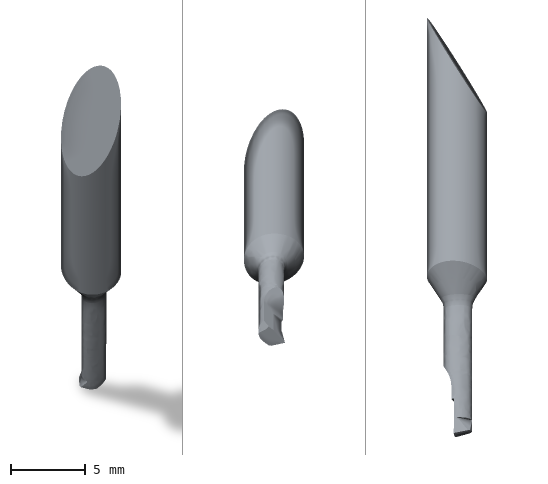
import cadquery as cq
import math

total_length = 29.7
shank_diameter = 4.0
shank_radius = shank_diameter / 2
end_cut_angle = 60.0

neck_x = 0.223
neck_rx = 0.8
neck_ry = 0.965
neck_left = neck_x - neck_rx
neck_right = neck_x + neck_rx
flare_base_z = 9.5
flare_angle = 32.0
flare_blend_radius = 1.35

flat_y = 0.25
runout_arc_start_z = 3.42
runout_arc_radius = 2.08
runout_angle = 33.0

tip_top_z = 1.22
nose_x = -0.92
rake_edge_y = -0.03
rake_top_z = 2.55
bottom_slope_x = 0.19
bottom_slope_y = 0.24
end_chamfer_width = 0.42
end_chamfer_top_z = 0.68
end_chamfer_height = 0.4
front_top_z = 1.07
front_top_left_x = -0.48
front_top_left_y = -0.3
heel = (-0.4, -0.9, 0.27)

block = 3 * total_length
overcut = 0.3
edge_tolerance = 0.03


def half_space(p, q, r):
    """Block on the side of a plane from which its three points run counterclockwise."""
    a, b, c = (cq.Vector(*point) for point in (p, q, r))
    plane = cq.Plane(origin=a, xDir=b - a, normal=(b - a).cross(c - a))
    return cq.Workplane(plane).rect(block, block).extrude(block)


def end_face_z(x, y):
    """Height of the tilted lower end, zero at the cutting nose."""
    return bottom_slope_x * (x - nose_x) - bottom_slope_y * (y - rake_edge_y)


def below_end_face():
    """Everything under the tilted lower end of the tool."""
    points = [(x, y, end_face_z(x, y)) for x, y in ((0, 0), (0, 0.3), (0.3, 0))]
    return half_space(*points)


def rake_relief():
    """Wedge in front of the slanted rake face, which runs up to the flat."""
    return (
        cq.Workplane("XY")
        .moveTo(nose_x, rake_edge_y)
        .lineTo(neck_x, flat_y)
        .lineTo(neck_x, shank_radius)
        .lineTo(nose_x, shank_radius)
        .close()
        .extrude(rake_top_z)
    )


def relief_pocket():
    """Half-section relief with an arc and a straight runout."""
    angle = math.radians(runout_angle)

    def arc_point(turn):
        return (
            flat_y + runout_arc_radius * (1 - math.cos(turn)),
            runout_arc_start_z + runout_arc_radius * math.sin(turn),
        )

    arc_end = arc_point(angle)
    runout_top_z = arc_end[1] + (shank_radius - arc_end[0]) / math.tan(angle)
    return (
        cq.Workplane("YZ")
        .moveTo(flat_y, -overcut)
        .lineTo(flat_y, runout_arc_start_z)
        .threePointArc(arc_point(angle / 2), arc_end)
        .lineTo(shank_radius, runout_top_z)
        .lineTo(shank_radius, -overcut)
        .close()
        .extrude(shank_radius, both=True)
    )


def tip_seat():
    """Corner of the neck that the tip fills."""
    return cq.Workplane("XY").box(
        block, block, block + tip_top_z, centered=(False, True, False)
    ).translate((neck_x - block, 0, -block))


def neck_end_chamfer():
    """Bevel on the +X side of the lower end."""
    return (
        cq.Workplane("XZ")
        .moveTo(neck_right, end_chamfer_top_z)
        .lineTo(neck_right - end_chamfer_width, end_chamfer_top_z - end_chamfer_height)
        .lineTo(neck_right - end_chamfer_width, -overcut)
        .lineTo(neck_right + overcut, -overcut)
        .lineTo(neck_right + overcut, end_chamfer_top_z)
        .close()
        .extrude(shank_radius, both=True)
    )


def make_holder():
    """Shank, flare and relieved neck as one piece, with the seat for the tip."""
    growth = shank_radius + neck_x
    flare_height = growth / math.tan(math.radians(flare_angle))
    flare_top_z = flare_base_z + flare_height
    neck = (
        cq.Workplane("XY").center(neck_x, 0).ellipse(neck_rx, neck_ry).extrude(flare_base_z)
    )
    flare = (
        cq.Workplane("XY", origin=(neck_x, 0, flare_base_z))
        .ellipse(neck_rx, neck_ry)
        .workplane(offset=flare_height)
        .ellipse(neck_rx + growth, neck_ry + growth)
        .loft()
    )
    shaft = (
        neck.union(flare)
        .edges(cq.selectors.BoxSelector(
            (-shank_radius, -shank_radius, flare_base_z - edge_tolerance),
            (shank_radius, shank_radius, flare_base_z + edge_tolerance),
            boundingbox=True,
        ))
        .fillet(flare_blend_radius)
    )
    bar = cq.Workplane("XY").circle(shank_radius).extrude(total_length)
    upper_bar = bar.intersect(
        cq.Workplane("XY", origin=(0, 0, flare_top_z)).circle(shank_radius).extrude(total_length)
    )
    cut_drop = shank_diameter * math.tan(math.radians(end_cut_angle))
    end_cut = half_space(
        (0, shank_radius, total_length),
        (0, -shank_radius, total_length - cut_drop),
        (0.3, -shank_radius, total_length - cut_drop),
    )
    holder = shaft.intersect(bar).union(upper_bar).cut(end_cut)
    for waste in (relief_pocket(), rake_relief(), tip_seat(), neck_end_chamfer(), below_end_face()):
        holder = holder.cut(waste)
    return holder


def make_tip():
    """Faceted tip overhanging the neck toward -X."""
    blank = cq.Workplane("XY").box(
        neck_x - nose_x, neck_ry + flat_y, tip_top_z, centered=False
    ).translate((nose_x, -neck_ry, 0))
    flank = half_space(
        (nose_x, rake_edge_y, 0),
        heel,
        (neck_left, rake_edge_y, tip_top_z),
    )
    front = half_space(
        (front_top_left_x, front_top_left_y, front_top_z),
        heel,
        (neck_x, -neck_ry, front_top_z),
    )
    tip = blank
    for waste in (rake_relief(), flank, front, below_end_face()):
        tip = tip.cut(waste)
    return tip


holder = make_holder()
tip = make_tip()

result = cq.Compound.makeCompound([holder.solids().val(), tip.solids().val()])